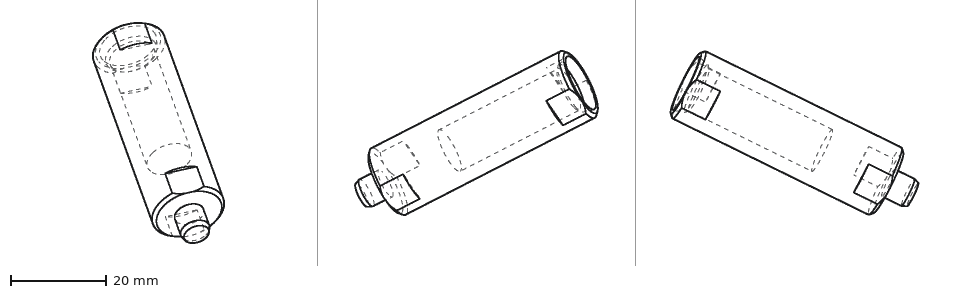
import cadquery as cq

total_length = 53.35
body_length = 47.6
body_radius = 15.75 / 2
body_chamfer = 0.75

stub_radius = 6.35 / 2
stub_chamfer_length = 1.1
stub_chamfer_depth = 0.45

mouth_radius = 12.45 / 2
mouth_end_radius = 11.2 / 2
mouth_length = 2.35
step_length = 0.65
bore_radius = 9.75 / 2
bore_depth = 32.0

flat_length = 6.35
across_flats = 14.15

body_start = -total_length / 2
body_end = body_start + body_length
stub_end = total_length / 2


def turned(profile):
    """Revolve a list of (x, radius) points about the X axis."""
    return cq.Workplane("XY").polyline(profile).close().revolve(360, (0, 0, 0), (1, 0, 0))


def make_shaft():
    return turned([
        (body_start, 0),
        (body_start, body_radius - body_chamfer),
        (body_start + body_chamfer, body_radius),
        (body_end - body_chamfer, body_radius),
        (body_end, body_radius - body_chamfer),
        (body_end, stub_radius),
        (stub_end - stub_chamfer_length, stub_radius),
        (stub_end, stub_radius - stub_chamfer_depth),
        (stub_end, 0),
    ])


def make_bore():
    mouth_end = body_start + mouth_length
    return turned([
        (body_start, 0),
        (body_start, mouth_radius),
        (mouth_end, mouth_end_radius),
        (mouth_end + step_length, bore_radius),
        (body_start + bore_depth, bore_radius),
        (body_start + bore_depth, 0),
    ])


def cut_flats(part):
    flat_depth = body_radius - across_flats / 2
    flat_height = across_flats / 2 + flat_depth / 2
    cutter = cq.Workplane("XY").box(flat_length, 2 * body_radius, flat_depth)
    for x in (body_start + flat_length / 2, body_end - flat_length / 2):
        for z in (-flat_height, flat_height):
            part = part.cut(cutter.translate((x, 0, z)))
    return part


result = cut_flats(make_shaft().cut(make_bore()))